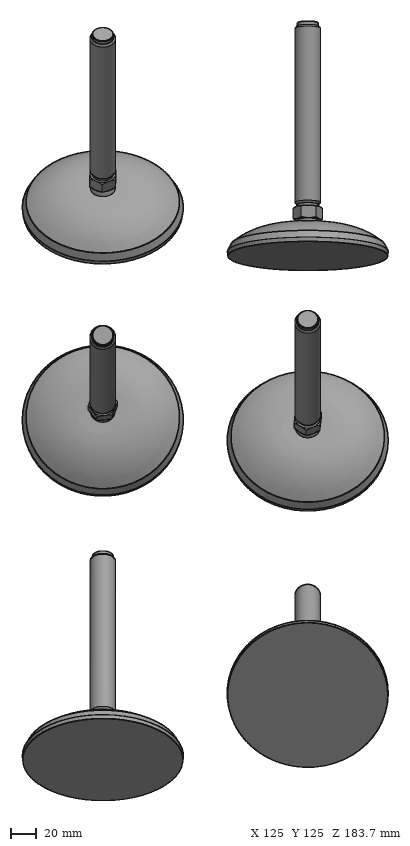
import cadquery as cq
import math

overall_height = 183.7

pad_dia = 125.0
pad_foot_dia = 124.2
pad_edge_chamfer = 0.4
pad_top_dia = 119.0
pad_rim_height = 3.5
pad_height = 9.2

plate_dia = 118.3
plate_edge_height = 0.4
plate_flat_dia = 40.0
plate_top = 23.3

ball_dia = 20.0
ball_centre = 19.7
socket_mouth_dia = 19.3

neck_dia = 14.7
hex_across_flats = 20.0
hex_bottom = 28.7
hex_height = 9.7
hex_chamfer_angle = 28.0
hex_half_side_angle = 180.0 / 6

rod_dia = 20.0
rod_end_dia = 17.5
rod_chamfer_height = 1.7
rod_bottom = 42.2
relief_dia = 16.5
tip_length = 3.0
tip_chamfer = 0.5


def revolve_about_z(outline):
    """Turn a closed half outline in the XZ plane into a solid of revolution."""
    return outline.revolve(360, (0, 0, 0), (0, 1, 0))


def make_pad():
    """Solid disc with a small ledge under its rim and a conical flank above it."""
    foot_radius = pad_foot_dia / 2
    outline = (
        cq.Workplane("XZ")
        .lineTo(foot_radius - pad_edge_chamfer, 0)
        .lineTo(foot_radius, pad_edge_chamfer)
        .lineTo(foot_radius, pad_rim_height)
        .lineTo(pad_dia / 2, pad_rim_height)
        .lineTo(pad_top_dia / 2, pad_height)
        .lineTo(0, pad_height)
        .close()
    )
    return revolve_about_z(outline)


def make_dome():
    """Dome whose arc runs tangentially into the flat on top."""
    edge_radius = plate_dia / 2
    outline = (
        cq.Workplane("XZ")
        .moveTo(0, pad_height)
        .lineTo(0, plate_top)
        .lineTo(plate_flat_dia / 2, plate_top)
        .tangentArcPoint((edge_radius, pad_height + plate_edge_height), relative=False)
        .lineTo(edge_radius, pad_height)
        .close()
    )
    return revolve_about_z(outline)


def make_plate():
    """Dome with a spherical socket and a round mouth that leaves a thin gap around the neck."""
    centre_plane = cq.Workplane("XY", origin=(0, 0, ball_centre))
    socket = centre_plane.sphere(ball_dia / 2)
    mouth = centre_plane.circle(socket_mouth_dia / 2).extrude(plate_top - ball_centre)
    return make_dome().cut(socket).cut(mouth)


def make_hexagon():
    """Hexagon collar with corners along X, chamfered by a cone at both ends."""
    flat_radius = hex_across_flats / 2
    corner_radius = flat_radius / math.cos(math.radians(hex_half_side_angle))
    chamfer_height = (corner_radius - flat_radius) * math.tan(math.radians(hex_chamfer_angle))
    hex_top = hex_bottom + hex_height
    prism = (
        cq.Workplane("XY", origin=(0, 0, hex_bottom))
        .polygon(6, 2 * corner_radius)
        .extrude(hex_height)
    )
    chamfered_outline = (
        cq.Workplane("XZ")
        .moveTo(0, hex_bottom)
        .lineTo(flat_radius, hex_bottom)
        .lineTo(corner_radius, hex_bottom + chamfer_height)
        .lineTo(corner_radius, hex_top - chamfer_height)
        .lineTo(flat_radius, hex_top)
        .lineTo(0, hex_top)
        .close()
    )
    return prism.intersect(revolve_about_z(chamfered_outline))


def make_spindle():
    """Ball, neck, hexagon collar and long rod with a reduced tip, in one piece."""
    rod_radius = rod_dia / 2
    rod_end_radius = rod_end_dia / 2
    relief_radius = relief_dia / 2
    neck_radius = neck_dia / 2
    ball_radius = ball_dia / 2
    tip_bottom = overall_height - tip_length
    relief_top = rod_bottom - rod_chamfer_height
    neck_bottom = ball_centre + math.sqrt(ball_radius**2 - neck_radius**2)
    outline = (
        cq.Workplane("XZ")
        .moveTo(0, overall_height)
        .lineTo(relief_radius - tip_chamfer, overall_height)
        .lineTo(relief_radius, overall_height - tip_chamfer)
        .lineTo(relief_radius, tip_bottom)
        .lineTo(rod_end_radius, tip_bottom)
        .lineTo(rod_radius, tip_bottom - rod_chamfer_height)
        .lineTo(rod_radius, rod_bottom)
        .lineTo(rod_end_radius, relief_top)
        .lineTo(relief_radius, relief_top)
        .lineTo(relief_radius, hex_bottom)
        .lineTo(neck_radius, hex_bottom)
        .lineTo(neck_radius, neck_bottom)
        .threePointArc((ball_radius, ball_centre), (0, ball_centre - ball_radius))
        .close()
    )
    return revolve_about_z(outline).union(make_hexagon())


pad = make_pad()
plate = make_plate()
spindle = make_spindle()

result = cq.Compound.makeCompound([pad.val(), plate.val(), spindle.val()])